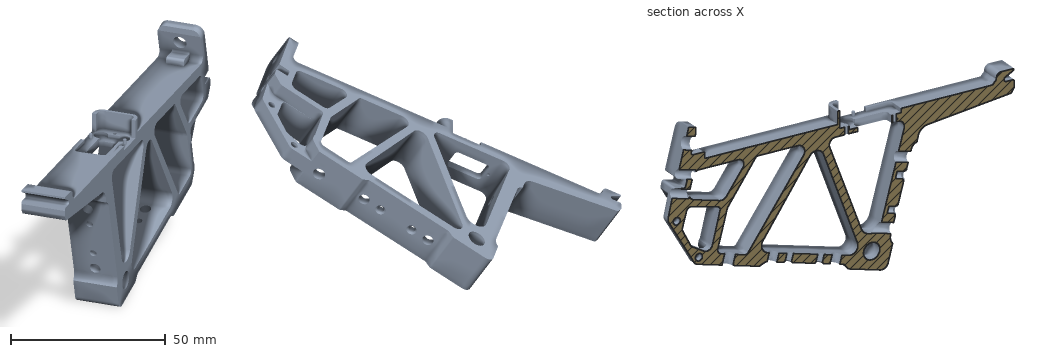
import cadquery as cq
import math

WIDTH = 15.0
TILT = 15.0
DECK_FLOOR = -1.6
DECK_UNDERSIDE = -4.5
OVERCUT = 1.3

OUTLINE = [
    (57.6, 12.6, 0), (54.7, 11.8, 0), (54.7, 9.8, 0), (57.4, 0, 1.8),
    (-57.1, 0, 0.5), (-58.5, 1.6, 0), (-58.5, 3.9, 1.8), (-65.2, 3.9, 0), (-65.2, 3.3, 0),
    (-59.3, 0, 0.8), (-65.2, 0, 0), (-65.5, -0.8, 0),
    (-65.5, -2.8, 1.0), (-64.3, -4.7, 0.8),
    (-29.9, -8.6, 3.9), (-28.7, -13.5, 0.3), (-27.0, -14.1, 2.6),
    (-18.3, -45.8, 3.7), (-19.5, -47.4, 0), (-17.2, -56.5, 2.6),
    (-2.8, -52.5, 0.8), (-1.0, -50.4, 1.0), (28.5, -42.4, 1.0), (30.9, -43.5, 0.8),
    (55.1, -36.9, 2.1), (65.6, -18.9, 2.4), (63.1, -7.7, 0.8),
    (59.0, -8.8, 0.4), (58.2, -6.0, 0.4), (62.1, -4.8, 0.5),
]

WINDOWS = [
    [(55.4, -3.7, 2.2), (35.0, -3.7, 2.0), (44.3, -16.8, 2.4), (57.9, -13.1, 2.4)],
    [(32.0, -4.0, 1.3), (11.5, -4.0, 2.5), (35.6, -38.1, 1.3), (46.9, -35.0, 1.7), (42.8, -19.6, 3.9)],
    [(8.6, -4.2, 2.9), (-7.9, -48.9, 2.6), (31.8, -38.1, 3.0)],
    [(5.4, DECK_UNDERSIDE, 2.2), (-24.5, DECK_UNDERSIDE, 2.4), (-11.9, -50.7, 3.9)],
]

TAIL_INNER_CORNER = (45.6, -18.9, 0.9)
TAIL_WIDTH = 5.4
TAIL_REGION = [
    (64.2, -9.7, 0), (61.4, -14.5, 1.3), TAIL_INNER_CORNER, (49.6, -34.3, 2.6),
    (46.9, -39.7, 0), (55.0, -47.1, 0), (73.3, -23.6, 0), (73.3, -9.7, 0),
]
TAIL_WINDOW = [
    (57.9, -15.7, 1.6), TAIL_INNER_CORNER, (49.4, -34.3, 2.1), (56.6, -30.1, 1.3), (60.0, -23.5, 0.7),
]
TAIL_HOLES = [(62.1, -19.9), (53.7, -34.7)]
TAIL_HOLE_DIAMETER = 2.5

PIVOT = (-11.5, -48.2)
PIVOT_DIAMETER = 6.0

LUG_CORNER_RADIUS = 3.0
LUG_HOLE = (59.1, 7.2)
LUG_HOLE_DIAMETER = 4.6
LUG_HOLE_DEPTH = 5.2
NOTCH_HOLES = [(61.7, -3.3), (63.5, -9.7)]
NOTCH_HOLE_DIAMETER = 3.1
NOTCH_HOLE_DEPTH = 6.5

TAB_WIDTH = 6.2
TAB_END = 51.3
TAB_HEIGHT = 2.4
TAB_ROUND = 0.9
TAB_FILLET = 0.7

POCKET_WIDTH = 12.3
POCKET_BACK, POCKET_FRONT = 0.4, -22.5
POCKET_RADIUS = 1.3
OPENING_BACK, OPENING_FRONT = -2.8, -13.1
WALL_BACK = 1.5
WALL_HEIGHT = 4.7
WALL_RADIUS = 2.9
POCKET_BACK_RADIUS = 1.8

SLOT_WIDTH = 6.8
SLOT_BACK, SLOT_FRONT = -6.3, -19.0
SLOT_RADIUS = 1.2

BEAN_FLOOR = -2.9
BEAN_LOBE_X = 3.8
BEAN_LOBE_Y = -4.6
BEAN_LOBE_RADIUS = 2.4
BEAN_BACK, BEAN_FRONT = -3.1, -7.1

PIN_DIAMETER = 1.2
PIN_X, PIN_Y = 5.9, -8.1
DOWEL_HOLES_Y = (-2.0, -20.2)

SCREW_PATTERN = 12.3
INSERT_PATTERN = 6.0
SCREW_DIAMETER = 3.7
INSERT_DIAMETER = 2.4
INSERT_MOUTH_DIAMETER = 3.5
STRUT_MIDDLE = (-22.5, -30.0)
RAIL_MIDDLE = (14.3, -46.4)
RAIL_END_HOLE = (43.0, -40.2)
RAIL_END_HOLE_DIAMETER = 4.0
RAIL_END_HOLE_DEPTH = 5.9
STRUT_SCREW_DEPTH = 9.2
STRUT_INSERT_DEPTH = 3.3
RAIL_HOLE_DEPTH = 4.6

COS = math.cos(math.radians(TILT))
SIN = math.sin(math.radians(TILT))


def rounded_outline(plane, corners):
    """Closed wire through the corners, each replaced by a tangent arc of its radius."""
    stretches = []
    for i, (px, py, radius) in enumerate(corners):
        corner = cq.Vector(px, py)
        before = (cq.Vector(*corners[i - 1][:2]) - corner).normalized()
        after = (cq.Vector(*corners[(i + 1) % len(corners)][:2]) - corner).normalized()
        if radius == 0:
            stretches.append([corner])
            continue
        half_angle = before.getAngle(after) / 2
        reach = radius / math.tan(half_angle)
        middle = radius / math.sin(half_angle) - radius
        bisector = (before + after).normalized()
        stretches.append([corner + before * reach, corner + bisector * middle, corner + after * reach])
    sketch = cq.Workplane(plane).moveTo(*stretches[0][-1].toTuple()[:2])
    for stretch in stretches[1:] + stretches[:1]:
        sketch = sketch.lineTo(*stretch[0].toTuple()[:2])
        if len(stretch) == 3:
            sketch = sketch.threePointArc(stretch[1].toTuple()[:2], stretch[2].toTuple()[:2])
    return sketch.close()


def across(corners, width=WIDTH):
    """Prism of a YZ outline, centred on X."""
    return rounded_outline("YZ", corners).extrude(width / 2, both=True)


def bore(center, diameter):
    """Cylinder along X."""
    return cq.Workplane("YZ").center(*center).circle(diameter / 2).extrude(WIDTH / 2 + OVERCUT, both=True)


def tilted_bore(start, direction, diameter, depth, mouth=0):
    """Cylinder in the X = 0 plane from a (y, z) surface point, optionally countersunk."""
    origin = cq.Vector(0, *start)
    axis = cq.Vector(0, *direction)
    radius = diameter / 2
    cutter = cq.Solid.makeCylinder(radius, depth + OVERCUT, origin - axis * OVERCUT, axis)
    if mouth:
        sink = cq.Solid.makeCone(mouth / 2, radius, (mouth - diameter) / 2, origin, axis)
        cutter = cutter.fuse(sink)
    return cq.Workplane(cutter)


def block(width, y_back, y_front, bottom, top, radius=0):
    """Box centred on X with rounded vertical edges."""
    box = (
        cq.Workplane("XY", origin=(0, (y_back + y_front) / 2, bottom))
        .rect(width, y_back - y_front)
        .extrude(top - bottom)
    )
    return box.edges("|Z").fillet(radius) if radius else box


def frame():
    body = across(OUTLINE)
    for window in WINDOWS:
        body = body.cut(across(window))
    sides = across(TAIL_REGION).cut(across(TAIL_REGION, TAIL_WIDTH))
    body = body.cut(sides).cut(across(TAIL_WINDOW))
    for center in TAIL_HOLES:
        body = body.cut(bore(center, TAIL_HOLE_DIAMETER))
    return body.cut(bore(PIVOT, PIVOT_DIAMETER))


def lug_corner_cutter():
    """What lies outside the lug's rounded top corners, looking square onto its back face."""
    top_edge = (0, *OUTLINE[0][:2])
    back_face = cq.Plane(origin=top_edge, xDir=(-1, 0, 0), normal=(0, COS, SIN))
    radius = LUG_CORNER_RADIUS
    arc_inset = radius * (1 - math.sqrt(0.5))
    cutter = cq.Workplane(back_face)
    for side in (-1, 1):
        edge = side * WIDTH / 2
        middle = (edge - side * arc_inset, -arc_inset)
        cutter = (
            cutter.moveTo(edge, -radius)
            .threePointArc(middle, (edge - side * radius, 0))
            .lineTo(edge - side * radius, OVERCUT)
            .lineTo(edge + side * OVERCUT, OVERCUT)
            .lineTo(edge + side * OVERCUT, -radius)
            .close()
        )
    return cutter.extrude(LUG_HOLE_DEPTH, both=True)


def shape_lug(body):
    """Rounds the lug's top corners and drills the lug and both lips of the notch."""
    inward = (-COS, -SIN)
    body = body.cut(lug_corner_cutter())
    body = body.cut(tilted_bore(LUG_HOLE, inward, LUG_HOLE_DIAMETER, LUG_HOLE_DEPTH))
    for start in NOTCH_HOLES:
        body = body.cut(tilted_bore(start, inward, NOTCH_HOLE_DIAMETER, NOTCH_HOLE_DEPTH))
    return body


def lug_front(z):
    """Y of the lug's leaning front face at a height."""
    _, (y_top, z_top, _), (y_deck, z_deck, _) = OUTLINE[1:4]
    return y_deck + (y_top - y_deck) * (z - z_deck) / (z_top - z_deck)


def tab():
    """Tab on the deck, blended into the front of the lug."""
    blend_top = 2 * TAB_HEIGHT
    root = lug_front(0)
    return across(
        [
            (lug_front(blend_top), blend_top, 0),
            (lug_front(TAB_HEIGHT), TAB_HEIGHT, TAB_FILLET),
            (TAB_END, TAB_HEIGHT, TAB_ROUND),
            (TAB_END, -OVERCUT, 0),
            (root, -OVERCUT, 0),
            (root, blend_top, 0),
        ],
        TAB_WIDTH,
    )


def end_wall():
    wall = block(WIDTH, WALL_BACK, OPENING_BACK, DECK_FLOOR, WALL_HEIGHT)
    return wall.edges("|Z and >Y").fillet(WALL_RADIUS)


def bean():
    """Shallow two-lobed recess across the back of the slot."""
    lobes = (
        cq.Workplane("XY", origin=(0, 0, BEAN_FLOOR))
        .pushPoints([(-BEAN_LOBE_X, BEAN_LOBE_Y), (BEAN_LOBE_X, BEAN_LOBE_Y)])
        .circle(BEAN_LOBE_RADIUS)
        .extrude(-BEAN_FLOOR)
    )
    return lobes.union(block(2 * BEAN_LOBE_X, BEAN_BACK, BEAN_FRONT, BEAN_FLOOR, 0))


def shape_deck(body):
    """Adds the end wall, sinks the pocket and slot, and sets the pins."""
    body = body.union(end_wall())
    pocket = block(POCKET_WIDTH, POCKET_BACK, POCKET_FRONT, DECK_FLOOR, WALL_HEIGHT + OVERCUT)
    pocket = pocket.edges("|Z and >Y").fillet(POCKET_BACK_RADIUS)
    pocket = pocket.edges("|Z and <Y").fillet(POCKET_RADIUS)
    body = body.cut(pocket)
    body = body.cut(block(WIDTH, OPENING_BACK, OPENING_FRONT, DECK_FLOOR, WALL_HEIGHT + OVERCUT))
    body = body.cut(bean())
    body = body.cut(block(SLOT_WIDTH, SLOT_BACK, SLOT_FRONT, DECK_UNDERSIDE, 0, SLOT_RADIUS))
    dowel_points = [(0, y) for y in DOWEL_HOLES_Y]
    body = body.cut(
        cq.Workplane("XY").pushPoints(dowel_points).circle(PIN_DIAMETER / 2).extrude(DECK_UNDERSIDE)
    )
    pins = (
        cq.Workplane("XY")
        .pushPoints([(-PIN_X, PIN_Y), (PIN_X, PIN_Y)])
        .circle(PIN_DIAMETER / 2)
        .extrude(DECK_FLOOR)
    )
    return body.union(pins)


def drill_row(body, middle, along, inward, screw_depth, insert_depth):
    """Two plain holes outside two countersunk ones, in a row on a tilted face."""
    for side in (-1, 1):
        for offset, diameter, depth, mouth in (
            (SCREW_PATTERN, SCREW_DIAMETER, screw_depth, 0),
            (INSERT_PATTERN, INSERT_DIAMETER, insert_depth, INSERT_MOUTH_DIAMETER),
        ):
            start = [base + side * offset * step for base, step in zip(middle, along)]
            body = body.cut(tilted_bore(start, inward, diameter, depth, mouth))
    return body


result = frame().union(tab())
result = shape_lug(result)
result = shape_deck(result)

strut_inward = (COS, SIN)
strut_along = (SIN, -COS)
result = drill_row(result, STRUT_MIDDLE, strut_along, strut_inward, STRUT_SCREW_DEPTH, STRUT_INSERT_DEPTH)

rail_inward = (-SIN, COS)
rail_along = (COS, SIN)
result = drill_row(result, RAIL_MIDDLE, rail_along, rail_inward, RAIL_HOLE_DEPTH, RAIL_HOLE_DEPTH)
result = result.cut(tilted_bore(RAIL_END_HOLE, rail_inward, RAIL_END_HOLE_DIAMETER, RAIL_END_HOLE_DEPTH))